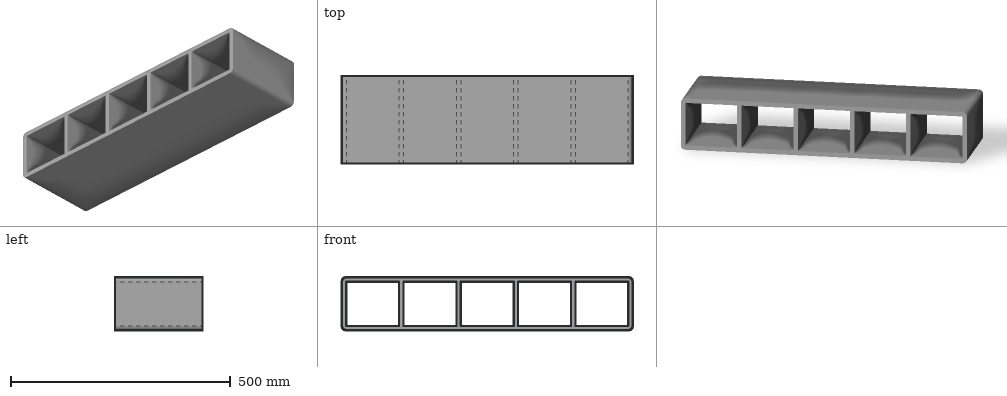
import cadquery as cq

LENGTH = 662.5
DEPTH = 200.0
HEIGHT = 121.0

WALL = 10.5
CELL_COUNT = 5
CELL_WIDTH = (LENGTH - (CELL_COUNT + 1) * WALL) / CELL_COUNT
CELL_HEIGHT = HEIGHT - 2 * WALL
CELL_PITCH = CELL_WIDTH + WALL

CORNER_RADIUS = WALL


def make_body():
    """Solid block with its edges along Y rounded."""
    block = cq.Workplane("XY").box(LENGTH, DEPTH, HEIGHT)
    return block.edges("|Y").fillet(CORNER_RADIUS)


def make_cells():
    """Row of rectangular compartments, open at both the front and the back."""
    return (
        cq.Workplane("XZ")
        .rarray(CELL_PITCH, 1, CELL_COUNT, 1)
        .rect(CELL_WIDTH, CELL_HEIGHT)
        .extrude(DEPTH / 2, both=True)
    )


result = make_body().cut(make_cells())